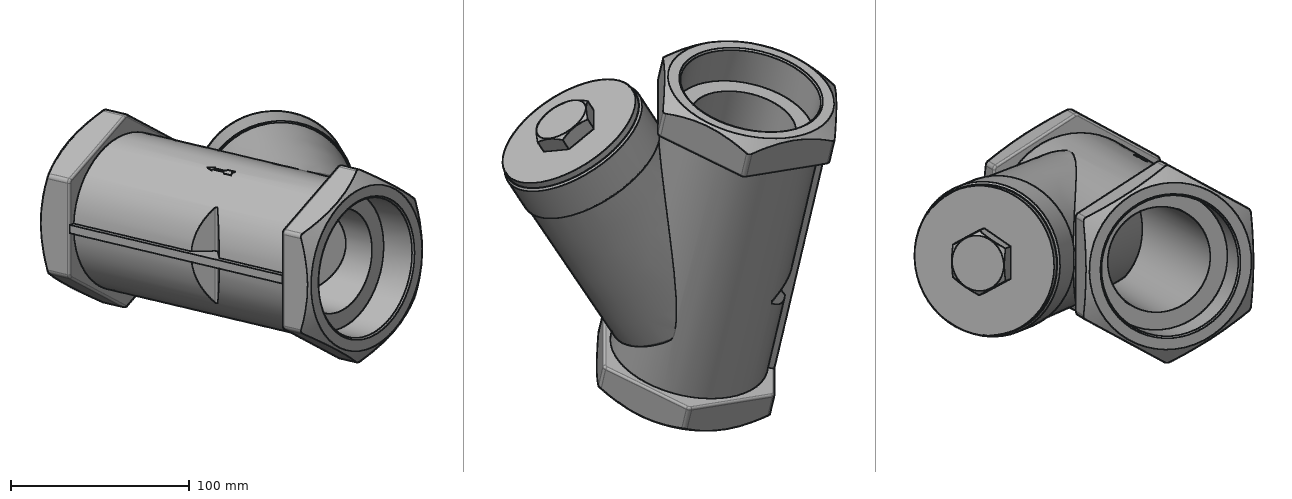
import cadquery as cq
import math

length = 200.0
left_hex_width = 22.2
right_hex_width = 20.5
hex_flats = 98.0
hex_corner_radius = 3.0
hex_back_radius = 1.5
hex_face_diameter = 94.8
hex_corner_diameter = 112.0
hex_chamfer_depth = 6.2
tube_diameter = 90.0
bore_diameter = 60.0
port_diameter = 80.0
port_mouth_diameter = 82.0
port_depth = 22.0
root_radius = 32.0

rib_width = 4.8
rib_reach = 48.5
notch_x = 19.5
notch_apex_reach = 34.5
notch_root_radius = 1.5

branch_angle = 40.0
branch_x = 59.5
branch_end = 20.0
branch_end_diameter = 84.0
branch_end_radius = 2.0
collar_start = 121.5
collar_diameter = 88.0
collar_chamfer = 1.2
cone_top_diameter = 86.0
cap_start = 143.5
cap_face = 147.2
cap_diameter = 85.0

key_height = 9.0
key_flats = 32.0
key_face_diameter = 31.5
key_chamfer_depth = 1.8

arrow_y = -15.5
arrow_tip_x = -4.5
arrow_head_x = 0.0
arrow_neck_x = 8.0
arrow_tail_x = 14.5
arrow_head_half = 1.5
arrow_shaft_half = 0.5
arrow_tail_half = 1.8
arrow_tail_dent = 1.0
arrow_relief = 0.2


def across_corners(flats):
    return flats / math.cos(math.radians(30))


def hexagon(flats, width):
    """Hexagonal prism along +Z with two corners on the X axis."""
    return cq.Workplane("XY").polygon(6, across_corners(flats)).extrude(width)


def face_chamfer(width, face_diameter, outer_diameter, depth):
    """Round envelope along +Z whose cone bevels the corners of the far face."""
    slope = (outer_diameter - face_diameter) / 2 / depth
    return (
        cq.Workplane("XZ")
        .polyline([
            (0, 0),
            (face_diameter / 2 + slope * width, 0),
            (face_diameter / 2, width),
            (0, width),
        ])
        .close()
        .revolve(360, (0, 0, 0), (0, 1, 0))
    )


def end_hex(width, side):
    """Hexagonal end of the body; side is -1 for the left end and +1 for the right."""
    prism = hexagon(hex_flats, width).edges("|Z").fillet(hex_corner_radius)
    prism = prism.faces("<Z").edges().fillet(hex_back_radius)
    envelope = face_chamfer(width, hex_face_diameter, hex_corner_diameter, hex_chamfer_depth)
    prism = prism.intersect(envelope).rotate((0, 0, 0), (0, 1, 0), side * 90)
    return prism.translate((side * (length / 2 - width), 0, 0))


def x_cylinder(diameter, start, end):
    return cq.Workplane("YZ", origin=(start, 0, 0)).circle(diameter / 2).extrude(end - start)


def notch():
    """45 degree V groove with a rounded root, running along Z."""
    depth = rib_reach - notch_apex_reach
    return (
        cq.Workplane("XY")
        .polyline([
            (notch_x, -notch_apex_reach),
            (notch_x - depth, -rib_reach),
            (notch_x + depth, -rib_reach),
        ])
        .close()
        .extrude(tube_diameter / 2, both=True)
        .edges("|Z and >Y")
        .fillet(notch_root_radius)
    )


def rib():
    left = -length / 2 + left_hex_width
    right = length / 2 - right_hex_width
    return (
        cq.Workplane("XY")
        .box(right - left, rib_reach - root_radius, rib_width, centered=(False, False, True))
        .translate((left, -rib_reach, 0))
    )


def port(side):
    """Port counterbore with a bevelled mouth."""
    bevel = (port_mouth_diameter - port_diameter) / 2
    cutter = (
        cq.Workplane("XY")
        .polyline([
            (length / 2 - port_depth, 0),
            (length / 2 - port_depth, port_diameter / 2),
            (length / 2 - bevel, port_diameter / 2),
            (length / 2, port_mouth_diameter / 2),
            (length / 2, 0),
        ])
        .close()
        .revolve(360, (0, 0, 0), (1, 0, 0))
    )
    return cutter if side > 0 else cutter.mirror("YZ")


def on_branch_axis(solid):
    """Move a solid built along +Z onto the inclined branch axis, its X pointing up."""
    angle = math.radians(branch_angle)
    plane = cq.Plane(
        origin=(branch_x, 0, 0),
        xDir=(0, 0, 1),
        normal=(-math.cos(angle), math.sin(angle), 0),
    )
    return cq.Workplane(solid.val().moved(cq.Location(plane)))


def branch_cone():
    return (
        cq.Workplane("XZ")
        .polyline([
            (0, branch_end),
            (branch_end_diameter / 2, branch_end),
            (cone_top_diameter / 2, collar_start),
            (0, collar_start),
        ])
        .close()
        .revolve(360, (0, 0, 0), (0, 1, 0))
    )


def branch():
    """Tapered branch; its end edge is rounded outside the tube and sharp inside."""
    inner = on_branch_axis(branch_cone()).intersect(x_cylinder(tube_diameter, -length / 2, length / 2))
    outer = on_branch_axis(branch_cone().faces("<Z").edges().fillet(branch_end_radius))
    return outer.union(inner)


def branch_cover():
    """Collar, cap and hexagonal key at the outer end of the branch."""
    collar = (
        cq.Workplane("XY", origin=(0, 0, collar_start))
        .circle(collar_diameter / 2)
        .extrude(cap_start - collar_start)
        .faces(">Z")
        .chamfer(collar_chamfer)
    )
    cap = (
        cq.Workplane("XY", origin=(0, 0, cap_start))
        .circle(cap_diameter / 2)
        .extrude(cap_face - cap_start)
    )
    envelope = face_chamfer(key_height, key_face_diameter, across_corners(key_flats), key_chamfer_depth)
    key = hexagon(key_flats, key_height).intersect(envelope)
    return on_branch_axis(collar.union(cap).union(key.translate((0, 0, cap_face))))


def flow_arrow():
    neck_slope = arrow_tail_half - arrow_shaft_half
    upper = [
        (arrow_head_x, arrow_head_half),
        (arrow_head_x, arrow_shaft_half),
        (arrow_neck_x, arrow_shaft_half),
        (arrow_neck_x + neck_slope, arrow_tail_half),
        (arrow_tail_x, arrow_tail_half),
    ]
    lower = [(x, -y) for x, y in reversed(upper)]
    outline = [(arrow_tip_x, 0)] + upper + [(arrow_tail_x - arrow_tail_dent, 0)] + lower
    prism = (
        cq.Workplane("XY", origin=(0, arrow_y, root_radius))
        .polyline(outline)
        .close()
        .extrude(tube_diameter / 2)
    )
    skin = x_cylinder(tube_diameter + 2 * arrow_relief, -length / 2, length / 2)
    return prism.intersect(skin)


body = x_cylinder(tube_diameter, -length / 2 + left_hex_width, length / 2 - right_hex_width)
body = body.cut(notch()).union(rib()).union(flow_arrow())
body = body.union(end_hex(left_hex_width, -1)).union(end_hex(right_hex_width, 1))
body = body.cut(x_cylinder(bore_diameter, -length / 2, length / 2))
body = body.cut(port(-1)).cut(port(1))

result = body.union(branch()).union(branch_cover())